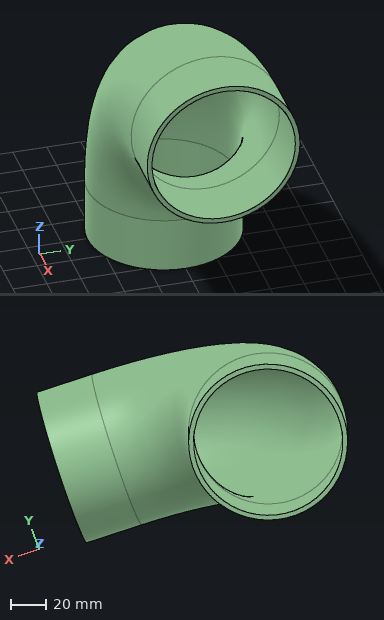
import cadquery as cq

overall_length = 168.0
outer_diameter = 90.0
bore_diameter = 84.3
bend_radius = outer_diameter

end_length = overall_length - bend_radius - outer_diameter / 2


def elbow(diameter):
    """Solid elbow rising along +Z from the origin and turning to +X."""
    lower_end = cq.Workplane("XY").circle(diameter / 2).extrude(end_length)
    bend = (
        cq.Workplane("XY", origin=(0, 0, end_length))
        .circle(diameter / 2)
        .revolve(90, (bend_radius, 0), (bend_radius, 1))
    )
    bend_top = end_length + bend_radius
    upper_end = (
        cq.Workplane("YZ", origin=(bend_radius, 0, bend_top))
        .circle(diameter / 2)
        .extrude(end_length)
    )
    return lower_end.union(bend).union(upper_end)


result = elbow(outer_diameter).cut(elbow(bore_diameter))